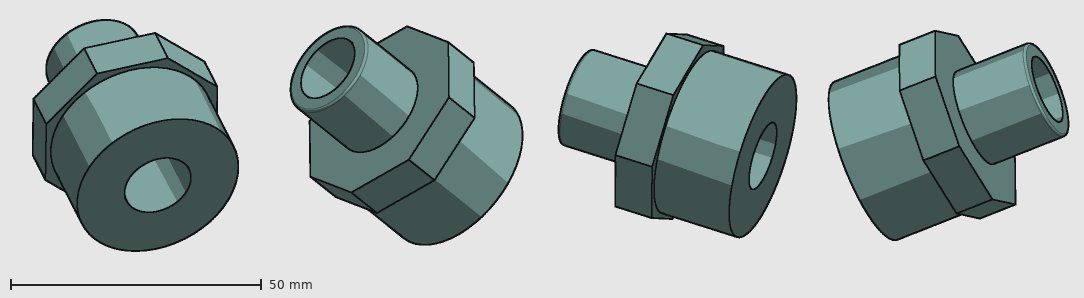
import cadquery as cq
import math

total_length = 40.3
spigot_length = 16.0
collar_width = 7.98
socket_length = total_length - spigot_length - collar_width

spigot_start = -total_length / 2
collar_start = spigot_start + spigot_length
socket_start = collar_start + collar_width

bore_diameter = 14.0
spigot_diameter = 20.0
socket_diameter = 34.0
spigot_edge_radius = 0.5

collar_sides = 8
collar_envelope = 36.25
collar_turn = 0.7
corner_angle = 180 / collar_sides - collar_turn
collar_corner_diameter = collar_envelope / math.cos(math.radians(corner_angle))


def section_plane(x):
    """Plane across the axis at x, with its normal along +X."""
    return cq.Workplane("YZ", origin=(x, 0, 0))


def make_cylinder(start, length, diameter):
    """Solid round along the axis."""
    return section_plane(start).circle(diameter / 2).extrude(length)


def make_nipple():
    """Narrow pipe end with a rounded rim, in one piece with the octagonal wrench collar."""
    spigot = make_cylinder(spigot_start, spigot_length, spigot_diameter)
    spigot = spigot.faces("<X").edges().fillet(spigot_edge_radius)
    collar = (
        section_plane(collar_start)
        .transformed(rotate=(0, 0, corner_angle))
        .polygon(collar_sides, collar_corner_diameter)
        .extrude(collar_width)
    )
    bore = make_cylinder(spigot_start, spigot_length + collar_width, bore_diameter)
    return spigot.union(collar).cut(bore)


def make_socket():
    """Wide pipe end butted against the collar, continuing the through bore."""
    outer = make_cylinder(socket_start, socket_length, socket_diameter)
    bore = make_cylinder(socket_start, socket_length, bore_diameter)
    return outer.cut(bore)


nipple = make_nipple()
socket = make_socket()

result = cq.Compound.makeCompound([nipple.val(), socket.val()])